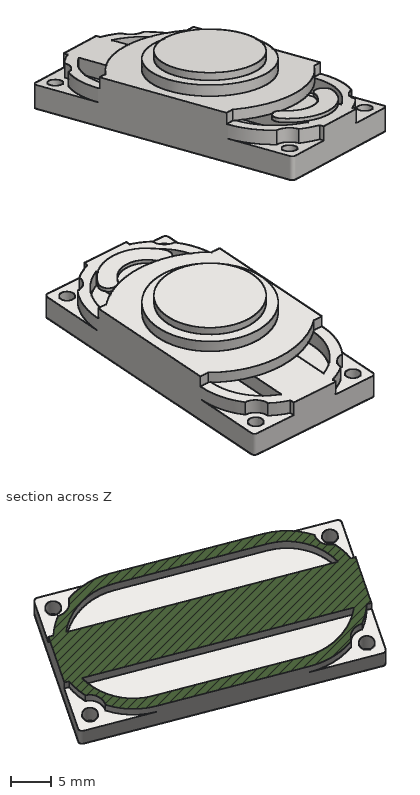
import cadquery as cq
import math

LENGTH = 40.0
WIDTH = 20.0
BASE_TOP = 3.25
CORNER_RADIUS = 0.5

HOLE_DIAMETER = 2.0
HOLE_INSET = 2.0
HOLE_CLEARANCE_RADIUS = 2.0

RIM_TOP = 5.15
RIM_WALL = 1.6
BAR_WIDTH = 6.95
CAVITY_FLOOR = 3.0

PLATE_TOP = 6.7
PLATE_HALF_LENGTH = 9.75
PLATE_SHOULDER_Y = 8.7
PLATE_BULGE_X = 13.0

CAP_LOWER_DIAMETER = 17.0
CAP_LOWER_TOP = 8.2
CAP_UPPER_DIAMETER = 14.0
TOTAL_HEIGHT = 9.25

PAD_CENTER_X = 12.0
PAD_PATH_RADIUS = 5.0
PAD_WIDTH = 2.5
PAD_HALF_ANGLE = 63.0
PAD_THICKNESS = 0.5


def layer(bottom_z, top_z):
    """Return the workplane at bottom_z and the thickness up to top_z."""
    return cq.Workplane("XY").workplane(offset=bottom_z), top_z - bottom_z


def make_base():
    return (
        cq.Workplane("XY")
        .box(LENGTH, WIDTH, BASE_TOP, centered=(True, True, False))
        .edges("|Z")
        .fillet(CORNER_RADIUS)
    )


def make_rim(hole_points):
    plane, height = layer(BASE_TOP, RIM_TOP)
    outer = plane.slot2D(LENGTH, WIDTH).extrude(height)
    clearances = plane.pushPoints(hole_points).circle(HOLE_CLEARANCE_RADIUS).extrude(height)
    bar = plane.rect(LENGTH, BAR_WIDTH).extrude(height)
    return outer.cut(clearances).union(bar)


def make_cavity():
    """Two pockets inside the rim, one on each side of the bar."""
    plane, height = layer(CAVITY_FLOOR, RIM_TOP)
    inside = plane.slot2D(LENGTH - 2 * RIM_WALL, WIDTH - 2 * RIM_WALL).extrude(height)
    bar = plane.rect(LENGTH, BAR_WIDTH).extrude(height)
    return inside.cut(bar)


def make_plate():
    plane, height = layer(RIM_TOP, PLATE_TOP)
    x = PLATE_HALF_LENGTH
    side_y = WIDTH / 2
    return (
        plane.moveTo(-x, -side_y)
        .lineTo(x, -side_y)
        .lineTo(x, -PLATE_SHOULDER_Y)
        .threePointArc((PLATE_BULGE_X, 0), (x, PLATE_SHOULDER_Y))
        .lineTo(x, side_y)
        .lineTo(-x, side_y)
        .lineTo(-x, PLATE_SHOULDER_Y)
        .threePointArc((-PLATE_BULGE_X, 0), (-x, -PLATE_SHOULDER_Y))
        .close()
        .extrude(height)
    )


def make_disc(diameter, bottom_z, top_z):
    plane, height = layer(bottom_z, top_z)
    return plane.circle(diameter / 2).extrude(height)


def pad_point(radius, angle):
    """Point at a polar position about the center of the pad's arc."""
    turn = math.radians(angle)
    return PAD_CENTER_X + radius * math.cos(turn), radius * math.sin(turn)


def make_pad():
    plane, height = layer(RIM_TOP, RIM_TOP + PAD_THICKNESS)
    inner = PAD_PATH_RADIUS - PAD_WIDTH / 2
    outer = PAD_PATH_RADIUS + PAD_WIDTH / 2
    band = (
        plane.moveTo(*pad_point(outer, -PAD_HALF_ANGLE))
        .threePointArc(pad_point(outer, 0), pad_point(outer, PAD_HALF_ANGLE))
        .lineTo(*pad_point(inner, PAD_HALF_ANGLE))
        .threePointArc(pad_point(inner, 0), pad_point(inner, -PAD_HALF_ANGLE))
        .close()
        .extrude(height)
    )
    end_centers = [pad_point(PAD_PATH_RADIUS, side * PAD_HALF_ANGLE) for side in (-1, 1)]
    round_ends = plane.pushPoints(end_centers).circle(PAD_WIDTH / 2).extrude(height)
    return band.union(round_ends)


hole_x = LENGTH / 2 - HOLE_INSET
hole_y = WIDTH / 2 - HOLE_INSET
hole_points = [(sx * hole_x, sy * hole_y) for sx in (-1, 1) for sy in (-1, 1)]
holes = cq.Workplane("XY").pushPoints(hole_points).circle(HOLE_DIAMETER / 2).extrude(BASE_TOP)

result = (
    make_base()
    .cut(holes)
    .union(make_rim(hole_points))
    .cut(make_cavity())
    .union(make_plate())
    .union(make_disc(CAP_LOWER_DIAMETER, PLATE_TOP, CAP_LOWER_TOP))
    .union(make_disc(CAP_UPPER_DIAMETER, CAP_LOWER_TOP, TOTAL_HEIGHT))
    .union(make_pad())
)